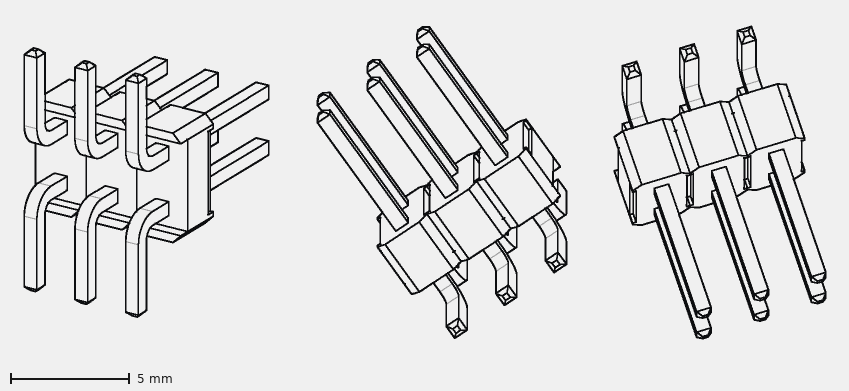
import cadquery as cq


PITCH = 2.54
MODULE_COUNT = 3

BODY_DEPTH = 2.0
BODY_HEIGHT = 5.0
FLANGE_DEPTH = PITCH
FLANGE_THICKNESS = 0.4
FLANGE_CHAMFER = FLANGE_THICKNESS

STEP_INSET = 0.15
STEP_DEPTH = 0.4
STEP_HEIGHT = 3.8

PIN_WIDTH = 0.64
PIN_TIP_CHAMFER = 0.2
REAR_LENGTH = 6.0
FRONT_REACH = 4.36
TIP_TO_TIP_HEIGHT = 11.0
BEND_INNER_RADIUS = 0.48
BEND_CENTRE_RADIUS = BEND_INNER_RADIUS + PIN_WIDTH / 2


def make_insulator():
    """Chamfered block with its front recessed between the top and bottom flanges."""
    block = (
        cq.Workplane("XY")
        .box(PITCH, FLANGE_DEPTH, BODY_HEIGHT)
        .edges("|Y")
        .chamfer(FLANGE_CHAMFER)
        .translate((0, -FLANGE_DEPTH / 2, 0))
    )
    front_recess_depth = FLANGE_DEPTH - BODY_DEPTH
    front_recess = cq.Workplane("XY").box(
        PITCH, front_recess_depth, BODY_HEIGHT - 2 * FLANGE_THICKNESS
    ).translate((0, -BODY_DEPTH - front_recess_depth / 2, 0))
    insulator = block.cut(front_recess)

    for side in (-1, 1):
        step = cq.Workplane("XY").box(STEP_INSET, STEP_DEPTH, STEP_HEIGHT)
        step_x = side * (PITCH / 2 - STEP_INSET / 2)
        insulator = insulator.cut(step.translate((step_x, -STEP_DEPTH / 2, 0)))
    return insulator


def make_upper_pin():
    """Square pin running forward from the rear tip, then bent upwards."""
    row_z = PITCH / 2
    leg_y = -FRONT_REACH + PIN_WIDTH / 2
    centre_line = (
        cq.Workplane("YZ")
        .moveTo(REAR_LENGTH, row_z)
        .lineTo(leg_y + BEND_CENTRE_RADIUS, row_z)
        .radiusArc((leg_y, row_z + BEND_CENTRE_RADIUS), BEND_CENTRE_RADIUS)
        .lineTo(leg_y, TIP_TO_TIP_HEIGHT / 2)
    )
    pin = (
        cq.Workplane("XZ", origin=(0, REAR_LENGTH, row_z))
        .rect(PIN_WIDTH, PIN_WIDTH)
        .sweep(centre_line)
    )
    return pin.faces(">Y or >Z").edges().chamfer(PIN_TIP_CHAMFER)


def make_module():
    """One insulator joined with its upper pin and the mirrored lower pin."""
    upper_pin = make_upper_pin()
    lower_pin = upper_pin.mirror("XY")
    return make_insulator().union(upper_pin).union(lower_pin)


module = make_module()
modules = []
for index in range(MODULE_COUNT):
    module_x = (index - (MODULE_COUNT - 1) / 2) * PITCH
    modules.append(module.translate((module_x, 0, 0)).val())

result = cq.Compound.makeCompound(modules)